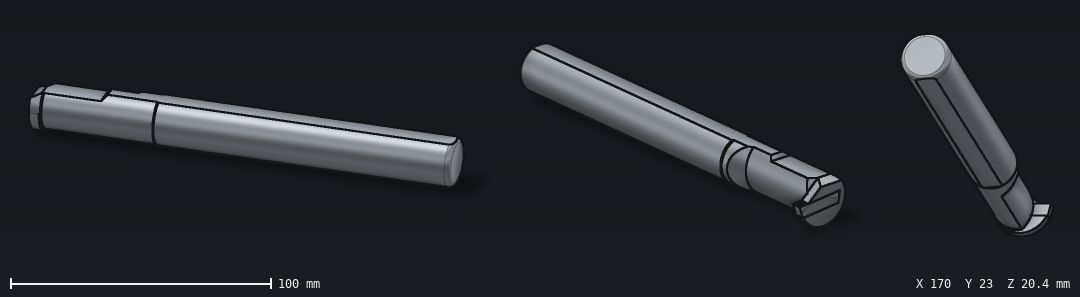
import cadquery as cq
import math


TOTAL_LENGTH = 170
SHANK_RADIUS = 10.0
FLAT_HEIGHT = 9.2
BOTTOM_FLAT_START = 49.6
END_FILLET = 2.0

NECK_STEP = 0.22
NECK_RADIUS = SHANK_RADIUS - NECK_STEP
NECK_START = 4.6
NECK_END = 50.5
STEP_TAPER = 0.5

FLUTE_RADIUS = 12.8
FLUTE_SIDE = 6.0
FLUTE_RUNOUT_START = 40.1
FLUTE_RUNOUT_ANGLE = 30

LOW_FLAT_HEIGHT = 7.5
LOW_FLAT_END = 28.0

HEAD_THICKNESS = 4.0
HEAD_RADIUS = 11.2
FACE_TOP = 5.6
SLOPE_LENGTH = 4.2

CHIP_FLOOR_Y = 8.5
CHIP_FLOOR_Z = 0.5
CHIP_FLOOR_ANGLE = 40
CHIP_FLOOR_LENGTH = 4.2

TIP = (13.0, 0)
TOP_HEEL = (-7.1, 1.5)
BOTTOM_HEEL = (-6.5, -3.4)
BOTTOM_TOE = (11.7, -5.0)
TIP_RELIEF = ((6.6, 0.3), (12.2, -2.4))
HEEL_RELIEF = ((-6.6, -1.5), (-0.5, 0.7))
RELIEF_ANGLE = 5
BREAKER_WIDTH = 2.4
BREAKER_Y = (9.5, 12.4)
BREAKER_DEPTH = 0.3

BIG = 51


def x_cylinder(radius, start, end, y=0):
    """Cylinder along X from start to end, centred at the given Y."""
    return cq.Workplane("YZ", origin=(start, y, 0)).circle(radius).extrude(end - start)


def make_turned_bar():
    """Collar, neck and shank as one revolved shape with a rounded rear end."""
    profile = [
        (0, 0),
        (0, SHANK_RADIUS),
        (NECK_START, SHANK_RADIUS),
        (NECK_START + STEP_TAPER, NECK_RADIUS),
        (NECK_END - STEP_TAPER, NECK_RADIUS),
        (NECK_END, SHANK_RADIUS),
        (TOTAL_LENGTH, SHANK_RADIUS),
        (TOTAL_LENGTH, 0),
    ]
    bar = cq.Workplane("XY").polyline(profile).close().revolve(360, (0, 0, 0), (1, 0, 0))
    return bar.faces(">X").edges().fillet(END_FILLET)


def make_top_cut():
    """Everything above the head slope, the lowered flat, its 45 degree ramp and the top flat."""
    ramp_end = LOW_FLAT_END + FLAT_HEIGHT - LOW_FLAT_HEIGHT
    outline = [
        (0, FACE_TOP),
        (SLOPE_LENGTH, LOW_FLAT_HEIGHT),
        (LOW_FLAT_END, LOW_FLAT_HEIGHT),
        (ramp_end, FLAT_HEIGHT),
        (TOTAL_LENGTH, FLAT_HEIGHT),
        (TOTAL_LENGTH, BIG),
        (0, BIG),
    ]
    return cq.Workplane("XZ").polyline(outline).close().extrude(BIG, both=True)


def make_bottom_cut():
    """Everything below the bottom flat of the shank."""
    corner = (BOTTOM_FLAT_START, -BIG / 2, -FLAT_HEIGHT - BIG)
    return cq.Workplane("XY").box(TOTAL_LENGTH, BIG, BIG, centered=False).translate(corner)


def make_flute_cut():
    """Everything outside the convex flute wall and the cone where the flute runs out."""
    axis_y = FLUTE_SIDE - FLUTE_RADIUS
    runout_length = NECK_END - FLUTE_RUNOUT_START
    runout_radius = FLUTE_RADIUS + runout_length * math.tan(math.radians(FLUTE_RUNOUT_ANGLE))
    kept_profile = [
        (HEAD_THICKNESS, 0),
        (HEAD_THICKNESS, FLUTE_RADIUS),
        (FLUTE_RUNOUT_START, FLUTE_RADIUS),
        (NECK_END, runout_radius),
        (NECK_END, 0),
    ]
    kept = cq.Workplane("XY").polyline(kept_profile).close().revolve(360, (0, 0, 0), (1, 0, 0))
    kept = kept.translate((0, axis_y, 0))
    return x_cylinder(BIG, HEAD_THICKNESS, NECK_END).cut(kept)


def make_lower_head():
    """Half disc below Z = 0, flush with the collar on the -Y side and wider on the +Y side."""
    disc = x_cylinder(HEAD_RADIUS, 0, HEAD_THICKNESS, y=HEAD_RADIUS - SHANK_RADIUS)
    lower_half = cq.Workplane("XY").box(BIG, BIG, BIG).translate((0, 0, -BIG / 2))
    return disc.intersect(lower_half)


def make_chip_floor_cut():
    """Space above the sloped chip floor, which turns up at 45 degrees at its rear end."""
    angle = math.radians(CHIP_FLOOR_ANGLE)
    floor_plane = cq.Plane(
        origin=(0, CHIP_FLOOR_Y, CHIP_FLOOR_Z),
        xDir=(1, 0, 0),
        normal=(0, math.cos(angle), -math.sin(angle)),
    )
    outline = [
        (0, 0),
        (CHIP_FLOOR_LENGTH, 0),
        (CHIP_FLOOR_LENGTH + BIG, -BIG),
        (0, -BIG),
    ]
    cut = cq.Workplane(floor_plane).polyline(outline).close().extrude(BIG, both=True)
    front_zone = cq.Workplane("XY").box(2 * LOW_FLAT_END, BIG, BIG)
    return cut.intersect(front_zone)


def make_insert_prism():
    """Insert outline through the thickness of the head."""
    outline = [TIP, TOP_HEEL, BOTTOM_HEEL, BOTTOM_TOE]
    return cq.Workplane("YZ").polyline(outline).close().extrude(HEAD_THICKNESS)


def make_relief_cut(low_y_end, high_y_end):
    """Thin wedge in front of a face that leans back above the line between two (Y, Z) ends."""
    along_y = high_y_end[0] - low_y_end[0]
    along_z = high_y_end[1] - low_y_end[1]
    direction = cq.Vector(0, along_y, along_z).normalized()
    upward = cq.Vector(0, -direction.z, direction.y)
    wedge_plane = cq.Plane(
        origin=(0, low_y_end[0], low_y_end[1]),
        xDir=upward.toTuple(),
        normal=direction.toTuple(),
    )
    depth = BIG * math.tan(math.radians(RELIEF_ANGLE))
    outline = [(0, 0), (BIG, 0), (BIG, depth)]
    return cq.Workplane(wedge_plane).polyline(outline).close().extrude(BIG, both=True)


def make_breaker_cut():
    """Shallow recess that follows the slope of the insert top."""
    slope = (TOP_HEEL[1] - TIP[1]) / (TOP_HEEL[0] - TIP[0])
    floor = [(y, TIP[1] + slope * (y - TIP[0]) - BREAKER_DEPTH) for y in BREAKER_Y]
    outline = floor + [(BREAKER_Y[1], BIG), (BREAKER_Y[0], BIG)]
    start = (HEAD_THICKNESS - BREAKER_WIDTH) / 2
    return cq.Workplane("YZ", origin=(start, 0, 0)).polyline(outline).close().extrude(BREAKER_WIDTH)


def make_holder():
    holder = make_turned_bar().cut(make_top_cut()).cut(make_bottom_cut())
    holder = holder.cut(make_flute_cut()).union(make_lower_head())
    return holder.cut(make_chip_floor_cut()).cut(make_insert_prism())


def make_insert():
    insert = make_insert_prism().cut(make_breaker_cut())
    for low_y_end, high_y_end in (TIP_RELIEF, HEEL_RELIEF):
        insert = insert.cut(make_relief_cut(low_y_end, high_y_end))
    return insert


holder = make_holder()
insert = make_insert()
result = cq.Compound.makeCompound([*holder.solids().vals(), *insert.solids().vals()])